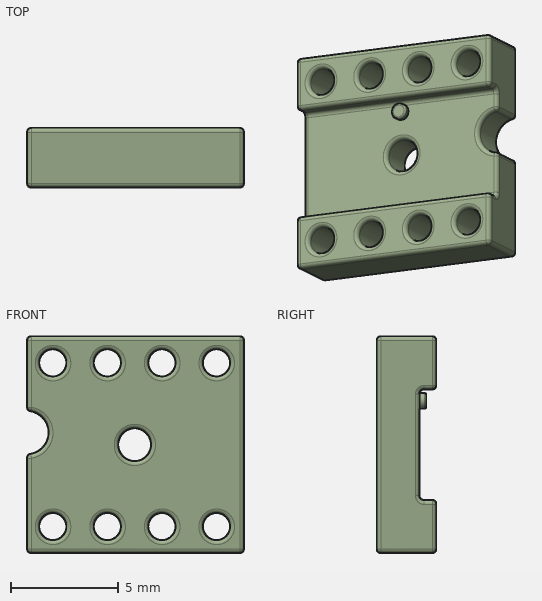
import cadquery as cq

side = 10.1
thickness = 2.79
edge_radius = 0.2

channel_width = 5.13
channel_depth = 0.79

notch_radius = 1.0
notch_z = 0.57

row_spacing = 7.62
row_length = row_spacing
holes_per_row = 4
hole_pitch = row_length / (holes_per_row - 1)
row_hole_radius = 0.63
center_hole_radius = 0.76
pattern_x = -0.04

pin_radius = 0.37
pin_height = 0.31
pin_edge_radius = 0.09
pin_z = 2.04

front_y = -thickness / 2
back_y = thickness / 2
floor_y = back_y - channel_depth


def rod(x, z, radius, start_y, end_y):
    """Cylinder along Y between two Y levels."""
    base = cq.Workplane("XZ", origin=(x, start_y, z))
    return base.circle(radius).extrude(start_y - end_y)


def make_body():
    """Square plate with channel and notch, every edge and channel corner rounded."""
    plate = cq.Workplane("XY").box(side, thickness, side)
    channel = (
        cq.Workplane("XY", origin=(0, back_y - channel_depth / 2, 0))
        .box(side, channel_depth, channel_width)
    )
    notch = rod(-side / 2, notch_z, notch_radius, front_y, back_y)
    return plate.cut(channel).cut(notch).edges().fillet(edge_radius)


def hole_cutter(x, z, radius, exit_y):
    """Hole from the front face to exit_y, with both rims flared by the edge radius."""
    rim_radius = radius + edge_radius
    arc_offset = edge_radius * (1 - 0.5 ** 0.5)
    return (
        cq.Workplane("XY", origin=(x, 0, z))
        .moveTo(0, front_y)
        .lineTo(rim_radius, front_y)
        .threePointArc((radius + arc_offset, front_y + arc_offset), (radius, front_y + edge_radius))
        .lineTo(radius, exit_y - edge_radius)
        .threePointArc((radius + arc_offset, exit_y - arc_offset), (rim_radius, exit_y))
        .lineTo(0, exit_y)
        .close()
        .revolve(360, (0, 0), (0, 1))
    )


def make_pin():
    """Round pin with a rounded top edge."""
    pin = rod(pattern_x, pin_z, pin_radius, floor_y, floor_y + pin_height)
    return pin.faces(">Y").edges().fillet(pin_edge_radius)


result = make_body()

result = result.cut(hole_cutter(pattern_x, 0, center_hole_radius, floor_y))
for row_z in (-row_spacing / 2, row_spacing / 2):
    for index in range(holes_per_row):
        hole_x = pattern_x - row_length / 2 + index * hole_pitch
        result = result.cut(hole_cutter(hole_x, row_z, row_hole_radius, back_y))

result = result.union(make_pin())